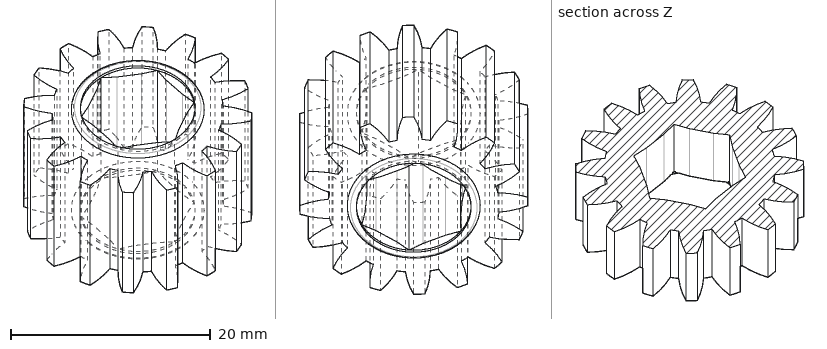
import cadquery as cq
import math

tooth_count = 16
module = 1.27
pitch_radius = module * tooth_count / 2
addendum = module
dedendum = 1.25 * module
tip_radius = pitch_radius + addendum
root_radius = pitch_radius - dedendum
tip_half_width = 0.565
pitch_half_width = math.pi * module / 4
root_half_width = 1.255

total_height = 15.24
hub_height = 0.3175
tooth_height = total_height - 2 * hub_height

hub_diameter = 13.31
hub_edge_fillet = hub_height
recess_diameter = 11.47
recess_depth = hub_height

bore_side_count = 6
bore_corner_radius = recess_diameter / 2
bore_across_flats = 9.58
bore_panel_half_width = 1.25


def turned(point, angle):
    """Rotate an (x, y) point about the part axis by an angle in degrees."""
    cosine = math.cos(math.radians(angle))
    sine = math.sin(math.radians(angle))
    x, y = point
    return (x * cosine - y * sine, x * sine + y * cosine)


def point_at(radius, half_width):
    """Point at a radius, offset sideways from the +X axis."""
    return (math.sqrt(radius**2 - half_width**2), half_width)


def make_teeth():
    """Extruded toothed body with arc-shaped flanks."""
    pitch_angle = 360 / tooth_count
    outline = cq.Workplane("XY", origin=(0, 0, -tooth_height / 2))
    outline = outline.moveTo(*point_at(root_radius, -root_half_width))
    for index in range(tooth_count):
        angle = index * pitch_angle
        outline = outline.threePointArc(
            turned(point_at(pitch_radius, -pitch_half_width), angle),
            turned(point_at(tip_radius, -tip_half_width), angle),
        )
        outline = outline.threePointArc(
            turned((tip_radius, 0), angle),
            turned(point_at(tip_radius, tip_half_width), angle),
        )
        outline = outline.threePointArc(
            turned(point_at(pitch_radius, pitch_half_width), angle),
            turned(point_at(root_radius, root_half_width), angle),
        )
        outline = outline.threePointArc(
            turned((root_radius, 0), angle + pitch_angle / 2),
            turned(point_at(root_radius, -root_half_width), angle + pitch_angle),
        )
    return outline.close().extrude(tooth_height)


def make_hub():
    """Full-height cylinder that forms the rounded ring at each end."""
    hub = cq.Workplane("XY").cylinder(total_height, hub_diameter / 2)
    return hub.faces("<Z or >Z").edges().fillet(hub_edge_fillet)


def make_bore():
    """Six-sided through bore with corners on the X axis."""
    points = []
    side_step = 360 / bore_side_count
    for index in range(bore_side_count):
        corner_angle = index * side_step
        side_angle = corner_angle + side_step / 2
        points.append(turned((bore_corner_radius, 0), corner_angle))
        for offset in (-bore_panel_half_width, bore_panel_half_width):
            points.append(turned((bore_across_flats / 2, offset), side_angle))
    bore = cq.Workplane("XY", origin=(0, 0, -total_height / 2))
    return bore.polyline(points).close().extrude(total_height)


def make_recess(end):
    """Shallow round recess at the top (end = 1) or bottom (end = -1)."""
    center_height = end * (total_height - recess_depth) / 2
    recess = cq.Workplane("XY", origin=(0, 0, center_height))
    return recess.cylinder(recess_depth, recess_diameter / 2)


result = make_teeth().union(make_hub()).cut(make_bore())
for end in (-1, 1):
    result = result.cut(make_recess(end))